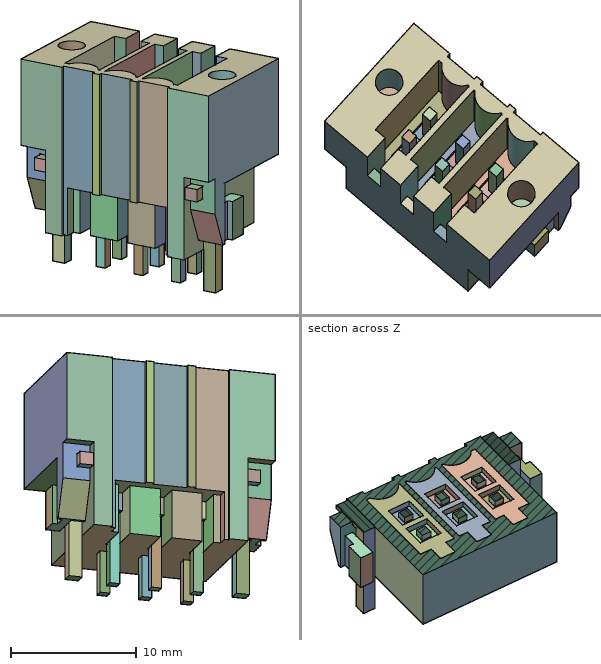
import cadquery as cq


WIDTH = 17.5
DEPTH = 10.8
TOP = 17.7
BOTTOM = 3.47

POLES = 3
PITCH = 3.5
PIN_SIZE = 0.83
PIN_TOP = 14.16
FRONT_ROW_Y = 4.05
ROW_SPACING = 2.5
POLE_X = [(i - (POLES - 1) / 2) * PITCH for i in range(POLES)]
ROW_Y = [FRONT_ROW_Y, FRONT_ROW_Y + ROW_SPACING]

POCKETS_HALF_WIDTH = 5.24
PARTITION = 0.5
POCKET_FRONT = 1.01
POCKET_BACK = 8.65
POCKET_FLOOR = 8.85
LATCH_SLOT_WIDTH = 1.4
REAR_WALL = 0.81
REAR_WALL_TOP = 12.39
WELL_SIZE = 2.02
WELL_DEPTH = 0.53
KEY_RADIUS = 1.61
KEY_HEIGHT = 0.76

SCREW_HOLE_DIAMETER = 2.18
SCREW_HOLE_X = 2 * PITCH
SCREW_HOLE_Y = 4.97
SCREW_HOLE_DEPTH = 5.31

GROOVE_WIDTH = 2.85
GROOVE_DEPTH = 0.3
RECESS_WIDTH = 9.15
RECESS_DEPTH = 1.24
RECESS_TOP = 7.49
PIN_SLOT_WIDTH = 0.95
PIN_SLOT_DEPTH = 3.19
PIN_WINDOW_TOP = 6.02

LOWER_WIDTH = 12.94
SHOULDER = 9.63
CORNER_TOP = 10.43
LUG_FRONT = 0.97
LUG_BACK = 2.5
LUG_BOTTOM = 4.48
LUG_SLOPE_TOP = 7.45
LUG_SLOPE_END = 2.21
GUARD_TOP = 7.72
GUARD_STEP_Y = 3.66
GUARD_BACK = 5.35
GUARD_STEP = 0.45

CLIP_WIDTH = 1.12
CLIP_TOP = 9.55
CLIP_ARM_BOTTOM = 8.51
CLIP_ARM_FRONT = 0.16
CLIP_LEG_FRONT = 3.0
CLIP_LEG_BACK = 4.04

CLIP_INNER_X = LOWER_WIDTH / 2
CLIP_OUTER_X = CLIP_INNER_X + CLIP_WIDTH


def block(x_range, y_range, z_range):
    """Axis-aligned box between pairs of limits."""
    (x0, x1), (y0, y1), (z0, z1) = x_range, y_range, z_range
    return cq.Workplane("XY").box(x1 - x0, y1 - y0, z1 - z0, centered=False).translate((x0, y0, z0))


def centered_range(center, size):
    """Limits of a span of the given size about a center."""
    return (center - size / 2, center + size / 2)


def both_ends(shape):
    """The shape at the +X end together with its mirror image at the -X end."""
    return [shape, shape.mirror("YZ")]


def make_end_cutout():
    """Space removed below the shoulder at the +X end, with the lug left standing in it."""
    x_range = (CLIP_INNER_X, WIDTH / 2)
    front_corner = block(x_range, (0, LUG_FRONT), (BOTTOM, CORNER_TOP))
    under_shoulder = block(x_range, (LUG_FRONT, DEPTH), (BOTTOM, SHOULDER))
    lug = (
        cq.Workplane("YZ", origin=(CLIP_INNER_X, 0, 0))
        .moveTo(LUG_FRONT, SHOULDER)
        .lineTo(LUG_FRONT, LUG_SLOPE_TOP)
        .lineTo(LUG_SLOPE_END, LUG_BOTTOM)
        .lineTo(LUG_BACK, LUG_BOTTOM)
        .lineTo(LUG_BACK, SHOULDER)
        .close()
        .extrude(WIDTH / 2 - CLIP_INNER_X)
    )
    arm_hole = block(
        (CLIP_INNER_X, CLIP_OUTER_X), (LUG_FRONT, LUG_BACK), (CLIP_ARM_BOTTOM, SHOULDER)
    )
    return front_corner.union(under_shoulder.cut(lug)).union(arm_hole)


def make_guard():
    """Wall reaching back from the lug, outside the clip leg at the +X end."""
    z_range = (LUG_BOTTOM, GUARD_TOP)
    thin = block((CLIP_OUTER_X, WIDTH / 2 - GUARD_STEP), (LUG_BACK, GUARD_STEP_Y), z_range)
    thick = block((CLIP_OUTER_X, WIDTH / 2), (GUARD_STEP_Y, GUARD_BACK), z_range)
    return thin.union(thick)


def make_pocket(pole):
    """Plug space of one pole, open at the top and, through the latch slot, at the rear."""
    x = POLE_X[pole]
    left = -POCKETS_HALF_WIDTH if pole == 0 else x - (PITCH - PARTITION) / 2
    right = POCKETS_HALF_WIDTH if pole == POLES - 1 else x + (PITCH - PARTITION) / 2
    slot_x = centered_range(x, LATCH_SLOT_WIDTH)
    key = (
        cq.Workplane("XY", origin=(x, POCKET_FRONT + KEY_HEIGHT - KEY_RADIUS, POCKET_FLOOR))
        .circle(KEY_RADIUS)
        .extrude(TOP - POCKET_FLOOR)
    )
    pocket = block((left, right), (POCKET_FRONT, POCKET_BACK), (POCKET_FLOOR, TOP)).cut(key)
    latch_slot = block(slot_x, (POCKET_BACK, DEPTH - REAR_WALL), (POCKET_FLOOR, TOP))
    rear_notch = block(slot_x, (DEPTH - REAR_WALL, DEPTH), (REAR_WALL_TOP, TOP))
    return pocket.union(latch_slot).union(rear_notch)


def make_front_cuts(x):
    """Key groove and pin slot of one pole; the slot reaches the front pin below its window top."""
    groove = block(centered_range(x, GROOVE_WIDTH), (0, GROOVE_DEPTH), (BOTTOM, TOP))
    slot_x = centered_range(x, PIN_SLOT_WIDTH)
    slot = block(slot_x, (0, PIN_SLOT_DEPTH), (BOTTOM, RECESS_TOP))
    window = block(slot_x, (0, FRONT_ROW_Y + PIN_SIZE / 2), (BOTTOM, PIN_WINDOW_TOP))
    return groove.union(slot).union(window)


def make_pin(x, y):
    """Straight square contact pin."""
    return block(centered_range(x, PIN_SIZE), centered_range(y, PIN_SIZE), (0, PIN_TOP))


def make_clip():
    """Mounting clip at the +X end: a board leg with an arm through the lug."""
    x_range = (CLIP_INNER_X, CLIP_OUTER_X)
    leg = block(x_range, (CLIP_LEG_FRONT, CLIP_LEG_BACK), (0, CLIP_TOP))
    arm = block(x_range, (CLIP_ARM_FRONT, CLIP_LEG_BACK), (CLIP_ARM_BOTTOM, CLIP_TOP))
    return leg.union(arm)


def make_housing(pins):
    """Connector housing with fitted holes for the pins."""
    body = block(centered_range(0, WIDTH), (0, DEPTH), (BOTTOM, TOP))
    for cutout in both_ends(make_end_cutout()):
        body = body.cut(cutout)
    for guard in both_ends(make_guard()):
        body = body.union(guard)

    body = body.cut(block(centered_range(0, RECESS_WIDTH), (0, RECESS_DEPTH), (BOTTOM, RECESS_TOP)))

    for pole, x in enumerate(POLE_X):
        body = body.cut(make_pocket(pole)).cut(make_front_cuts(x))
        for y in ROW_Y:
            well = block(
                centered_range(x, WELL_SIZE),
                centered_range(y, WELL_SIZE),
                (POCKET_FLOOR - WELL_DEPTH, POCKET_FLOOR),
            )
            body = body.cut(well)
    for pin in pins:
        body = body.cut(pin)

    screw_hole = (
        cq.Workplane("XY", origin=(SCREW_HOLE_X, SCREW_HOLE_Y, TOP - SCREW_HOLE_DEPTH))
        .circle(SCREW_HOLE_DIAMETER / 2)
        .extrude(SCREW_HOLE_DEPTH)
    )
    for hole in both_ends(screw_hole):
        body = body.cut(hole)
    return body


pins = [make_pin(x, y) for x in POLE_X for y in ROW_Y]
clips = both_ends(make_clip())
housing = make_housing(pins)

result = cq.Compound.makeCompound(
    [
        *housing.solids().vals(),
        *[pin.val() for pin in pins],
        *[clip.solids().val() for clip in clips],
    ]
)